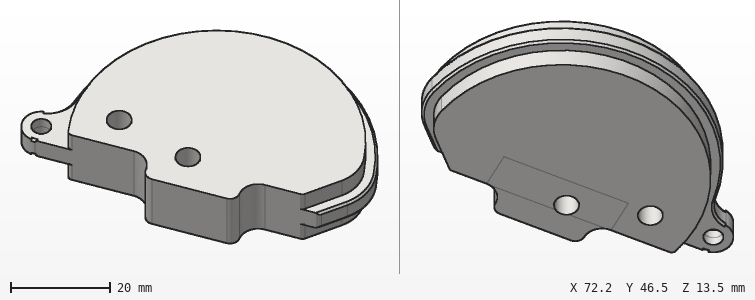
import cadquery as cq
import math

body_thickness = 13.5
rim_thickness = 4.55
rim_overhang = 2.45
rim_chamfer = 0.5
rim_skirt = 3.6

arc_center_y = 8.0
body_radius = 30.0
body_corner_radius = 8.0
body_tip_x = 21.1
body_tip_fillet = 1.0
rim_tip_fillet = 1.3
rim_radius = body_radius + rim_overhang
rim_corner_radius = body_corner_radius + rim_overhang
rim_tip_x = body_tip_x + rim_overhang * math.sqrt(2)

lug_x = -36.0
lug_radius = 4.05
lug_hole_diameter = 4.05
lug_blend_radius = 6.0

tab_left = -10.95
tab_right = 9.0
tab_depth = 6.0
tab_corner_radius = 2.0
tab_root_radius = tab_depth - tab_corner_radius

hole_diameter = 5.05
hole_centers = [(-20.4, 7.0), (-4.05, 2.0)]

arc_center = (0, arc_center_y)
arc_top_angle = math.pi / 2
cut_normal_angle = -math.pi / 4


def polar(center, radius, angle):
    """Point on a circle."""
    return (center[0] + radius * math.cos(angle), center[1] + radius * math.sin(angle))


cut_to_arc_center = (body_tip_x + arc_center_y) / math.sqrt(2)
corner_center_distance = body_radius - body_corner_radius
corner_angle = cut_normal_angle + math.acos(
    (cut_to_arc_center - body_corner_radius) / corner_center_distance
)
corner_center = polar(arc_center, corner_center_distance, corner_angle)


def add_right_side(outline, main_radius, corner_radius, tip_x, tip_y):
    """Continue an outline over the main arc and down the right side to the tip."""
    middle_angle = (corner_angle + cut_normal_angle) / 2
    return (
        outline.threePointArc(
            polar(arc_center, main_radius, arc_top_angle),
            polar(arc_center, main_radius, corner_angle),
        )
        .threePointArc(
            polar(corner_center, corner_radius, middle_angle),
            polar(corner_center, corner_radius, cut_normal_angle),
        )
        .lineTo(tip_x, tip_y)
    )


def make_body():
    start_x = -math.sqrt(body_radius**2 - arc_center_y**2)
    outline = cq.Workplane("XY").moveTo(start_x, 0)
    outline = add_right_side(outline, body_radius, body_corner_radius, body_tip_x, 0)
    body = outline.close().extrude(body_thickness / 2, both=True)
    return body.faces("<Y").edges("|Z").fillet(body_tip_fillet)


def make_rim():
    lug_center = (lug_x, lug_radius)
    dx = lug_x - arc_center[0]
    dy = lug_radius - arc_center_y
    center_distance = math.hypot(dx, dy)
    to_blend = rim_radius + lug_blend_radius
    lug_to_blend = lug_radius + lug_blend_radius
    spread = math.acos(
        (center_distance**2 + to_blend**2 - lug_to_blend**2) / (2 * center_distance * to_blend)
    )
    blend_angle = math.atan2(dy, dx) % (2 * math.pi) - spread
    blend_center = polar(arc_center, to_blend, blend_angle)
    lug_angle = math.atan2(blend_center[1] - lug_center[1], blend_center[0] - lug_center[0])
    blend_start = lug_angle - math.pi
    blend_end = blend_angle - math.pi

    outline = (
        cq.Workplane("XY")
        .moveTo(lug_x, 0)
        .threePointArc((lug_x - lug_radius, lug_radius), polar(lug_center, lug_radius, lug_angle))
        .threePointArc(
            polar(blend_center, lug_blend_radius, (blend_start + blend_end) / 2),
            polar(arc_center, rim_radius, blend_angle),
        )
    )
    outline = add_right_side(outline, rim_radius, rim_corner_radius, rim_tip_x - rim_skirt, -rim_skirt)
    outline = outline.lineTo(lug_x, -rim_skirt)
    rim = outline.close().extrude(rim_thickness / 2, both=True)
    chamfered_rim = rim.faces("<Z or >Z").edges().chamfer(rim_chamfer)

    lug_end_x = polar(lug_center, lug_radius, lug_angle)[0]
    lug_zone = cq.Workplane("XY").box(rim_radius, 4 * rim_radius, body_thickness)
    lug_zone = lug_zone.translate((lug_end_x - rim_radius / 2, 0, 0))
    below_front = cq.Workplane("XY").box(
        4 * rim_radius, 2 * rim_skirt, body_thickness, centered=(True, False, True)
    )
    below_front = below_front.translate((0, -2 * rim_skirt, 0))
    rim_side = chamfered_rim.cut(lug_zone).cut(below_front)
    rim_side = rim_side.faces("<Y").edges("|Z").edges(">X").fillet(rim_tip_fillet)
    lug_end = rim.intersect(lug_zone).cut(below_front)
    lug_hole = (
        cq.Workplane("XY")
        .center(*lug_center)
        .circle(lug_hole_diameter / 2)
        .extrude(rim_thickness, both=True)
    )
    return rim_side.union(lug_end).cut(lug_hole)


def make_tab():
    root = tab_root_radius
    corner = tab_corner_radius
    return (
        cq.Workplane("XY")
        .moveTo(tab_left - root, 0)
        .radiusArc((tab_left, -root), root)
        .radiusArc((tab_left + corner, -tab_depth), -corner)
        .lineTo(tab_right - corner, -tab_depth)
        .radiusArc((tab_right, -root), -corner)
        .radiusArc((tab_right + root, 0), root)
        .lineTo(tab_right + root, arc_center_y)
        .lineTo(tab_left - root, arc_center_y)
        .close()
        .extrude(body_thickness / 2, both=True)
    )


holes = (
    cq.Workplane("XY")
    .pushPoints(hole_centers)
    .circle(hole_diameter / 2)
    .extrude(body_thickness, both=True)
)

result = make_body().union(make_rim()).union(make_tab()).cut(holes)